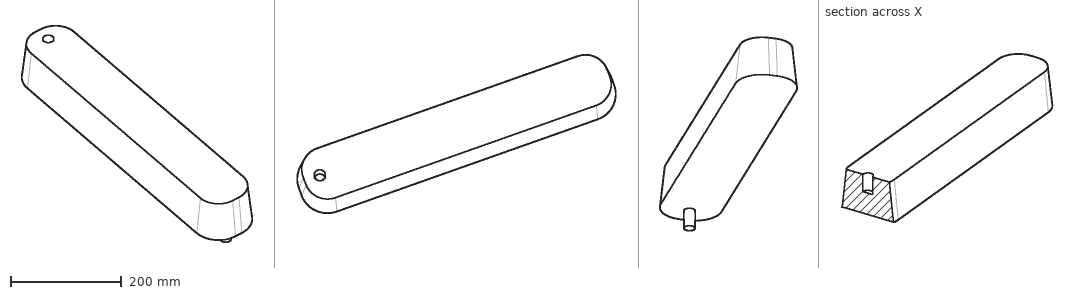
import cadquery as cq
import math

length = 600.0
width = 114.0
body_height = 80.0
corner_radius = 50.0
draft_angle = 6.0

pin_diameter = 20.5
pin_length = 35.5
socket_diameter = 20.5
socket_depth = pin_length
joint_offset = 262.0


def rounded_rectangle(size_x, size_y, radius):
    """Closed outline centred on the origin, with arcs at the four corners."""
    return cq.Sketch().rect(size_x, size_y).vertices().fillet(radius)


def tapered_body():
    """Bar whose sides and conical corners all lean inwards by the draft angle."""
    inset = body_height * math.tan(math.radians(draft_angle))
    bottom = rounded_rectangle(length, width, corner_radius)
    top = rounded_rectangle(length - 2 * inset, width - 2 * inset, corner_radius - inset)
    return (
        cq.Workplane("XY")
        .placeSketch(bottom, top.moved(cq.Location(cq.Vector(0, 0, body_height))))
        .loft()
    )


def vertical_cylinder(diameter, height, x, bottom_z):
    """Cylinder along Z on the bar's centre line."""
    return cq.Workplane("XY", origin=(x, 0, bottom_z)).circle(diameter / 2).extrude(height)


pin = vertical_cylinder(pin_diameter, pin_length, joint_offset, -pin_length)
socket = vertical_cylinder(socket_diameter, socket_depth, -joint_offset, body_height - socket_depth)

result = tapered_body().union(pin).cut(socket)